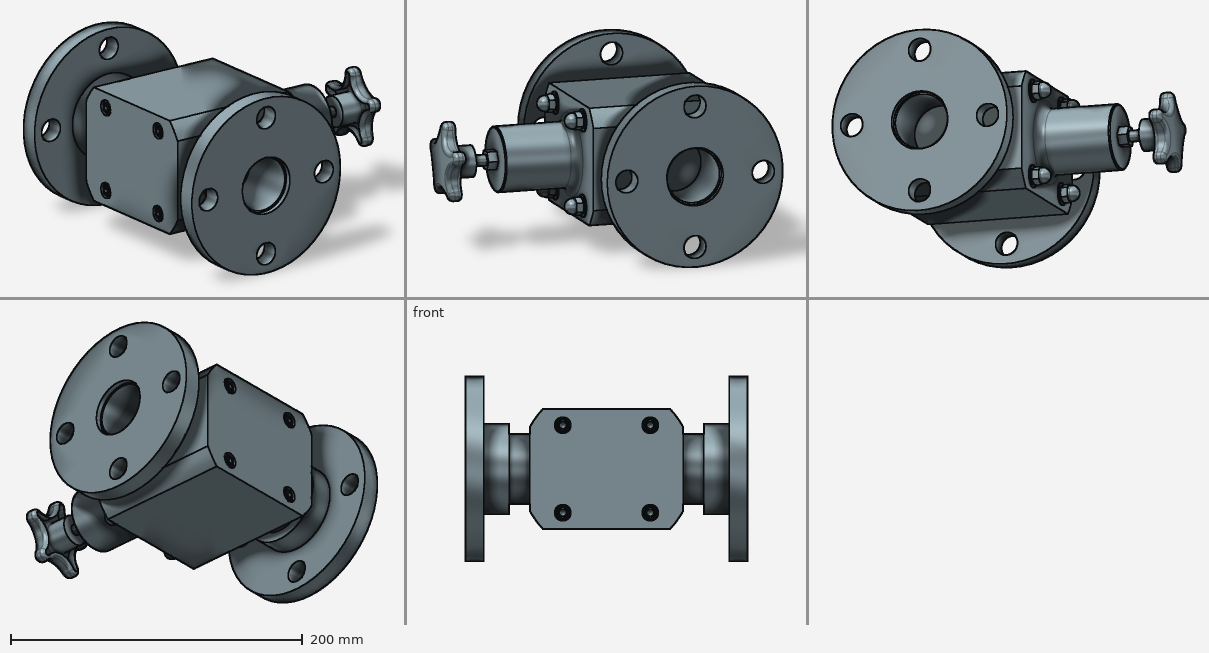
import cadquery as cq
import math


FLANGE_SPAN = 193.6
FLANGE_D = 127.0
FLANGE_T = 12.8
BOLT_CIRCLE_R = 49.3
BOLT_HOLE_D = 15.9
BOLT_HOLES = 4
COLLAR_D = 62.1
COLLAR_L = 17.2
PIPE_D = 48.2
MOUTH_D = 40.6
MOUTH_DEPTH = 4.1
BORE_D = 38.0

BODY_X = 105.2
BODY_Z = 82.4
BODY_CORNER_D = 120.0
BODY_FRONT_Y = -42.8
BODY_BACK_Y = 58.7

BOLT_SPACING = 60.0
COUNTERBORE_D = 11.0
COUNTERBORE_DEPTH = 6.0
HEAD_D = 9.5
HEAD_FACE_D = 7.4
HEAD_RECESS = 0.5
SOCKET_FLATS = 5.0
SOCKET_DEPTH = 2.5
SOCKET_CONE_H = 1.3
WASHER_D = 15.6
WASHER_T = 0.7
CAP_NUT_FLATS = 11.0
CAP_NUT_FOOT_H = 0.7
CAP_NUT_HEX_H = 5.0
CAP_NUT_NECK_H = 1.3

BONNET_D = 45.6
BONNET_TOP_Y = 112.1
BONNET_CHAMFER = 0.9
BONNET_FOOT_R = 6.3
SPINDLE_NUT_FLATS = 12.5
SPINDLE_NUT_H = 7.2
SPINDLE_D = 7.8
SPINDLE_CHAMFER = 0.5

WHEEL_TOP_Y = 217.3 - FLANGE_D / 2
WHEEL_H = 12.4
HUB_D = 22.2
HUB_L = 12.2
LOBES = 5
LOBE_CENTRE_R = 24.0
LOBE_TIP_D = 9.5
DOME_R = 108.6
WHEEL_ROUND = 3.3
RIM_WALL = 2.5
POCKET_DEPTH = 5.6
HUB_ROOT_R = 2.2


def plane_at(y, x=0, z=0):
    """Work plane square to the spindle; local axes are X and Z, and its normal is -Y."""
    return cq.Workplane("XZ", origin=(x, y, z))


def rod(diameter, y_start, y_end, x=0, z=0):
    """Round bar along Y."""
    return plane_at(y_start, x, z).circle(diameter / 2).extrude(y_start - y_end)


def hex_bar(flats, y_start, y_end, x=0, z=0, turn=0):
    """Hexagonal bar along Y; its corners lie on X unless turned."""
    corners = flats / math.cos(math.pi / 6)
    bar = plane_at(y_start).polygon(6, corners).extrude(y_start - y_end)
    return bar.rotate((0, 0, 0), (0, 1, 0), turn).translate((x, 0, z))


def body_block():
    """Rectangular block with its four long edges rounded off by the corner circle."""
    length = BODY_BACK_Y - BODY_FRONT_Y
    box = plane_at(BODY_FRONT_Y).rect(BODY_X, BODY_Z).extrude(-length)
    return box.intersect(rod(BODY_CORNER_D, BODY_FRONT_Y, BODY_BACK_Y))


def pipe_end():
    """Pipe, collar and flange on the +X side, without the bore."""
    face_x = FLANGE_SPAN / 2
    flange_x = face_x - FLANGE_T
    collar_x = flange_x - COLLAR_L
    flange = cq.Workplane("YZ", origin=(flange_x, 0, 0)).circle(FLANGE_D / 2).extrude(FLANGE_T)
    holes = (
        cq.Workplane("YZ", origin=(flange_x, 0, 0))
        .polarArray(BOLT_CIRCLE_R, 0, 360, BOLT_HOLES)
        .circle(BOLT_HOLE_D / 2)
        .extrude(FLANGE_T)
    )
    collar = cq.Workplane("YZ", origin=(collar_x, 0, 0)).circle(COLLAR_D / 2).extrude(COLLAR_L)
    pipe = cq.Workplane("YZ").circle(PIPE_D / 2).extrude(collar_x)
    return flange.cut(holes).union(collar).union(pipe)


def bore():
    """Stepped bore on the +X side, ending level with the side of the body."""
    face_x = FLANGE_SPAN / 2
    mouth = cq.Workplane("YZ", origin=(face_x, 0, 0)).circle(MOUTH_D / 2).extrude(-MOUTH_DEPTH)
    depth = face_x - BODY_X / 2
    return mouth.union(cq.Workplane("YZ", origin=(face_x, 0, 0)).circle(BORE_D / 2).extrude(-depth))


def screw_head(x, z):
    """Chamfered head with a cone-bottomed hexagon socket, standing in its counterbore."""
    face_y = BODY_FRONT_Y + HEAD_RECESS
    head = rod(HEAD_D, face_y, BODY_FRONT_Y + COUNTERBORE_DEPTH, x, z)
    head = head.faces("<Y").chamfer((HEAD_D - HEAD_FACE_D) / 2)
    socket_end = face_y + SOCKET_DEPTH
    head = head.cut(hex_bar(SOCKET_FLATS, face_y, socket_end, x, z))
    cone = cq.Solid.makeCone(
        SOCKET_FLATS / 2, 0, SOCKET_CONE_H, cq.Vector(x, socket_end, z), cq.Vector(0, 1, 0)
    )
    return head.cut(cq.Workplane(cone))


def cap_nut(x, z):
    """Washer, round foot, hexagon, short neck and domed cap."""
    washer_y = BODY_BACK_Y + WASHER_T
    foot_y = washer_y + CAP_NUT_FOOT_H
    hex_y = foot_y + CAP_NUT_HEX_H
    dome_y = hex_y + CAP_NUT_NECK_H
    washer = rod(WASHER_D, BODY_BACK_Y, washer_y, x, z)
    core = rod(CAP_NUT_FLATS, BODY_BACK_Y, dome_y, x, z)
    hexagon = hex_bar(CAP_NUT_FLATS, foot_y, hex_y, x, z, turn=90)
    dome = cq.Workplane("XY", origin=(x, dome_y, z)).sphere(CAP_NUT_FLATS / 2)
    return washer.union(core).union(hexagon).union(dome)


def flared_post(diameter, foot_r, foot_y, end_y):
    """Cylinder along Y whose foot spreads in a concave quarter round onto the face at foot_y."""
    r = diameter / 2
    side = math.copysign(1, end_y - foot_y)
    bend = foot_r * (1 - math.sqrt(0.5))
    return (
        cq.Workplane("XY")
        .moveTo(0, foot_y)
        .lineTo(r + foot_r, foot_y)
        .threePointArc((r + bend, foot_y + side * bend), (r, foot_y + side * foot_r))
        .lineTo(r, end_y)
        .lineTo(0, end_y)
        .close()
        .revolve(360, (0, 0, 0), (0, 1, 0))
    )


def bonnet():
    """Round housing behind the body with a chamfered top edge."""
    post = flared_post(BONNET_D, BONNET_FOOT_R, BODY_BACK_Y, BONNET_TOP_Y)
    return post.faces(">Y").chamfer(BONNET_CHAMFER)


def star(y, height, inset=0):
    """Five-lobed prism: round tips joined by tangent hollows, shrunk all round by inset."""
    tip_r = LOBE_TIP_D / 2 - inset
    half_step = math.pi / LOBES
    hollow_centre_r = LOBE_CENTRE_R / math.cos(half_step)
    hollow_r = LOBE_CENTRE_R * math.tan(half_step) - tip_r
    valley_r = hollow_centre_r - hollow_r

    def polar(radius, angle, sideways=0):
        return (
            radius * math.cos(angle) - sideways * math.sin(angle),
            radius * math.sin(angle) + sideways * math.cos(angle),
        )

    first = math.pi / 2
    outline = plane_at(y).moveTo(*polar(LOBE_CENTRE_R, first, -tip_r))
    for i in range(LOBES):
        angle = first + 2 * half_step * i
        next_angle = angle + 2 * half_step
        outline = outline.threePointArc(
            polar(LOBE_CENTRE_R + tip_r, angle), polar(LOBE_CENTRE_R, angle, tip_r)
        ).threePointArc(
            polar(valley_r, angle + half_step), polar(LOBE_CENTRE_R, next_angle, -tip_r)
        )
    return outline.close().extrude(-height)


def hand_wheel():
    """Domed star with rounded edges and a hollow underside, on its hub."""
    rim_y = WHEEL_TOP_Y - WHEEL_H
    dome = cq.Workplane("XY", origin=(0, WHEEL_TOP_Y - DOME_R, 0)).sphere(DOME_R)
    wheel = star(rim_y, 2 * WHEEL_H).intersect(dome)
    wheel = wheel.faces("%SPHERE").edges().fillet(WHEEL_ROUND)
    wheel = wheel.faces("<Y").edges().fillet(WHEEL_ROUND)
    wheel = wheel.cut(star(rim_y, POCKET_DEPTH, RIM_WALL))
    return wheel.union(flared_post(HUB_D, HUB_ROOT_R, rim_y + POCKET_DEPTH, rim_y - HUB_L))


def spindle():
    """Hexagon nut on the bonnet and the stem up to the hub, chamfered at its top."""
    nut_top = BONNET_TOP_Y + SPINDLE_NUT_H
    hub_y = WHEEL_TOP_Y - WHEEL_H - HUB_L
    stem = rod(SPINDLE_D, nut_top, hub_y).faces(">Y").chamfer(SPINDLE_CHAMFER)
    return hex_bar(SPINDLE_NUT_FLATS, BONNET_TOP_Y, nut_top).union(stem)


right_end = pipe_end()
right_bore = bore()
result = body_block().union(right_end).union(right_end.mirror("YZ"))
result = result.cut(right_bore).cut(right_bore.mirror("YZ"))

counterbore_end = BODY_FRONT_Y + COUNTERBORE_DEPTH
for bolt_x in (-BOLT_SPACING / 2, BOLT_SPACING / 2):
    for bolt_z in (-BOLT_SPACING / 2, BOLT_SPACING / 2):
        result = result.cut(rod(COUNTERBORE_D, BODY_FRONT_Y, counterbore_end, bolt_x, bolt_z))
        result = result.union(screw_head(bolt_x, bolt_z))
        result = result.union(cap_nut(bolt_x, bolt_z))

result = result.union(bonnet()).union(spindle()).union(hand_wheel())